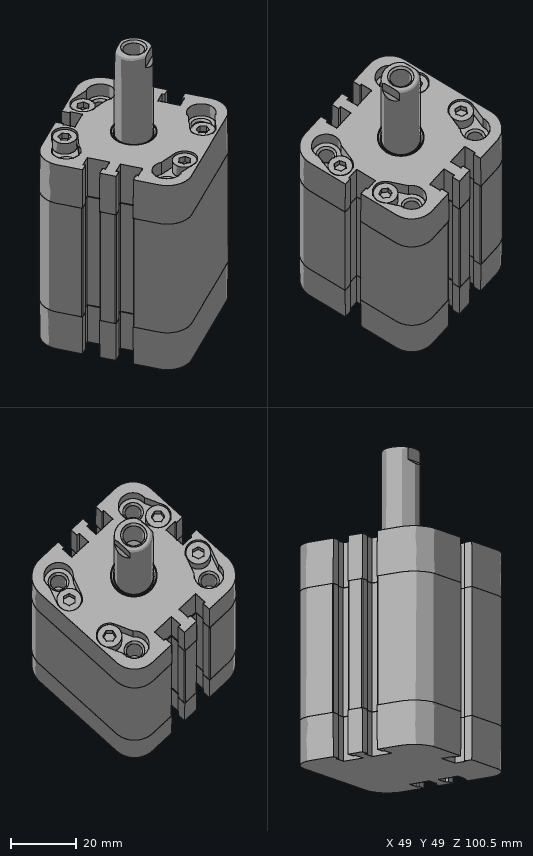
import cadquery as cq
import math


BODY_SIDE = 49.0
CORNER_RADIUS = 8.0
REAR_CAP_HEIGHT = 14.0
BARREL_HEIGHT = 40.7
FRONT_CAP_HEIGHT = 14.4
OVERALL_HEIGHT = 100.5
CAP_DRAFT = 0.5

BARREL_BASE = REAR_CAP_HEIGHT
FRONT_CAP_BASE = BARREL_BASE + BARREL_HEIGHT
BODY_TOP = FRONT_CAP_BASE + FRONT_CAP_HEIGHT

MOUTH_CENTRE = 5.4
MOUTH_WIDTH = 5.5
LIP_DEPTH = 2.8
UNDERCUT_OUTER_X = 8.9
CAP_RIB_WIDTH = 3.4
CAP_SLOT_DEPTH = 6.7
BARREL_RIB_WIDTH = 3.8
BARREL_SLOT_DEPTH = 6.4
MOUTH_CHAMFER = 0.3

SIDE_MOUTH_WIDTH = 5.9
SIDE_UNDERCUT_WIDTH = 7.1
SIDE_LIP_DEPTH = 2.8
SIDE_SLOT_DEPTH = 6.7

HOLE_OFFSET = 16.3
SCREW_X = 19.4
SCREW_Y = 8.6
POCKET_DEPTH = 4.5
HOLE_POCKET_DIAMETER = 9.0
SCREW_POCKET_DIAMETER = 8.0
HOLE_DIAMETER = 4.9
HOLE_CHAMFER = 0.7
HEAD_DIAMETER = 7.5
HEAD_HEIGHT = 3.9
SOCKET_CORNER_DIAMETER = 4.0
SOCKET_DEPTH = 2.0
SOCKET_ANGLE = 15.0

POCKET_FLOOR = BODY_TOP - POCKET_DEPTH

ROD_DIAMETER = 12.0
ROD_EDGE_RADIUS = 1.1
FLATS_WIDTH = 9.9
FLATS_LENGTH = 4.1
ROD_HOLE_DIAMETER = 6.6
ROD_HOLE_DEPTH = 12.1
ROD_HOLE_TIP_ANGLE = 118.0
ROD_HOLE_CHAMFER = 0.7

SEAT_MOUTH_DIAMETER = 14.3
SEAT_RIM_DIAMETER = 13.7
SEAT_RIM_DEPTH = 0.1
SEAT_THROAT_DIAMETER = 12.6
SEAT_CONE_DEPTH = 0.6
SEAT_DEPTH = 0.8


def disc(diameter, base, height, x=0.0, y=0.0):
    """Upright cylinder standing on the level `base`."""
    return cq.Workplane("XY", origin=(x, y, base)).circle(diameter / 2).extrude(height)


def revolved(profile):
    """Solid of revolution about Z from a list of (radius, z) points."""
    return cq.Workplane("XZ").polyline(profile).close().revolve(360, (0, 0, 0), (0, 1, 0))


def slot_step(x_start, x_end, depth_start, depth_end, base, height):
    """Rectangular groove between two X positions and two depths below the -Y side."""
    side = -BODY_SIDE / 2
    step = cq.Workplane("XY").box(x_end - x_start, depth_end - depth_start, height, centered=False)
    return step.translate((x_start, side + depth_start, base))


def paired_slot(rib_width, depth, base, height):
    """The slot at +X on the -Y side: a narrow mouth over a wider undercut."""
    half_mouth = MOUTH_WIDTH / 2
    mouth = slot_step(MOUTH_CENTRE - half_mouth, MOUTH_CENTRE + half_mouth, 0, LIP_DEPTH, base, height)
    undercut = slot_step(rib_width / 2, UNDERCUT_OUTER_X, LIP_DEPTH, depth, base, height)
    return mouth.union(undercut)


def side_slot(base, height):
    """The single slot, turned onto the -X side."""
    half_mouth = SIDE_MOUTH_WIDTH / 2
    half_undercut = SIDE_UNDERCUT_WIDTH / 2
    mouth = slot_step(-half_mouth, half_mouth, 0, SIDE_LIP_DEPTH, base, height)
    undercut = slot_step(-half_undercut, half_undercut, SIDE_LIP_DEPTH, SIDE_SLOT_DEPTH, base, height)
    return mouth.union(undercut).rotate((0, 0, 0), (0, 0, 1), -90)


def at_four_quadrants(shape):
    """The shape and its mirror images in the YZ and XZ planes."""
    pair = [shape, shape.mirror("YZ")]
    return pair + [half.mirror("XZ") for half in pair]


def slotted_block(base, height, rib_width, slot_depth, draft=0.0):
    """Rounded square block, narrowing upwards by the draft angle, with all slots along its height."""
    outline = cq.Sketch().rect(BODY_SIDE, BODY_SIDE).vertices().fillet(CORNER_RADIUS)
    block = cq.Workplane("XY", origin=(0, 0, base)).placeSketch(outline).extrude(height, taper=draft)
    for slot in at_four_quadrants(paired_slot(rib_width, slot_depth, base, height)):
        block = block.cut(slot)
    return block.cut(side_slot(base, height))


def make_rear_cap():
    """Lower cap, widest at the barrel."""
    cap = slotted_block(0, REAR_CAP_HEIGHT, CAP_RIB_WIDTH, CAP_SLOT_DEPTH, CAP_DRAFT)
    return cap.mirror("XY").translate((0, 0, REAR_CAP_HEIGHT))


def make_barrel():
    """Middle section, with chamfered mouths on the paired slots."""
    barrel = slotted_block(BARREL_BASE, BARREL_HEIGHT, BARREL_RIB_WIDTH, BARREL_SLOT_DEPTH)
    half_mouth = MOUTH_WIDTH / 2
    chamfered_mouth = (
        cq.Workplane("XY", origin=(MOUTH_CENTRE, -BODY_SIDE / 2, BARREL_BASE))
        .moveTo(-half_mouth - MOUTH_CHAMFER, 0)
        .lineTo(half_mouth + MOUTH_CHAMFER, 0)
        .lineTo(half_mouth, MOUTH_CHAMFER)
        .lineTo(-half_mouth, MOUTH_CHAMFER)
        .close()
        .extrude(BARREL_HEIGHT)
    )
    for mouth in at_four_quadrants(chamfered_mouth):
        barrel = barrel.cut(mouth)
    return barrel


def corner_recess():
    """Pocket and chamfered mounting hole at the +X +Y corner."""
    run_x = HOLE_OFFSET - SCREW_X
    run_y = HOLE_OFFSET - SCREW_Y
    channel = (
        cq.Workplane("XY")
        .slot2D(math.hypot(run_x, run_y) + SCREW_POCKET_DIAMETER, SCREW_POCKET_DIAMETER)
        .extrude(POCKET_DEPTH)
        .rotate((0, 0, 0), (0, 0, 1), math.degrees(math.atan2(run_y, run_x)))
        .translate((SCREW_X + run_x / 2, SCREW_Y + run_y / 2, POCKET_FLOOR))
    )
    hole_pocket = disc(HOLE_POCKET_DIAMETER, POCKET_FLOOR, POCKET_DEPTH, HOLE_OFFSET, HOLE_OFFSET)
    radius = HOLE_DIAMETER / 2
    hole = revolved([
        (0, POCKET_FLOOR),
        (radius + HOLE_CHAMFER, POCKET_FLOOR),
        (radius, POCKET_FLOOR - HOLE_CHAMFER),
        (radius, FRONT_CAP_BASE),
        (0, FRONT_CAP_BASE),
    ])
    return channel.union(hole_pocket).union(hole.translate((HOLE_OFFSET, HOLE_OFFSET, 0)))


def screw_head():
    """Socket head standing on the pocket floor at the +X +Y corner."""
    head = disc(HEAD_DIAMETER, POCKET_FLOOR, HEAD_HEIGHT)
    socket = (
        cq.Workplane("XY", origin=(0, 0, POCKET_FLOOR + HEAD_HEIGHT - SOCKET_DEPTH))
        .polygon(6, SOCKET_CORNER_DIAMETER)
        .extrude(SOCKET_DEPTH)
        .rotate((0, 0, 0), (0, 0, 1), SOCKET_ANGLE)
    )
    return head.cut(socket).translate((SCREW_X, SCREW_Y, 0))


def rod_passage():
    """Rod-sized hole through the front cap, opening into a ledge, a cone and a throat at the top."""
    return revolved([
        (0, BODY_TOP),
        (SEAT_MOUTH_DIAMETER / 2, BODY_TOP),
        (SEAT_MOUTH_DIAMETER / 2, BODY_TOP - SEAT_RIM_DEPTH),
        (SEAT_RIM_DIAMETER / 2, BODY_TOP - SEAT_RIM_DEPTH),
        (SEAT_THROAT_DIAMETER / 2, BODY_TOP - SEAT_CONE_DEPTH),
        (SEAT_THROAT_DIAMETER / 2, BODY_TOP - SEAT_DEPTH),
        (ROD_DIAMETER / 2, BODY_TOP - SEAT_DEPTH),
        (ROD_DIAMETER / 2, FRONT_CAP_BASE),
        (0, FRONT_CAP_BASE),
    ])


def make_front_cap():
    """Upper cap with the corner pockets, the screw heads and the rod passage."""
    cap = slotted_block(FRONT_CAP_BASE, FRONT_CAP_HEIGHT, CAP_RIB_WIDTH, CAP_SLOT_DEPTH, CAP_DRAFT)
    for recess in at_four_quadrants(corner_recess()):
        cap = cap.cut(recess)
    for head in at_four_quadrants(screw_head()):
        cap = cap.union(head)
    return cap.cut(rod_passage())


def rod_end_hole():
    """Chamfered blind hole with a conical bottom in the free end of the rod."""
    radius = ROD_HOLE_DIAMETER / 2
    bottom = OVERALL_HEIGHT - ROD_HOLE_DEPTH
    tip_length = radius / math.tan(math.radians(ROD_HOLE_TIP_ANGLE / 2))
    return revolved([
        (0, OVERALL_HEIGHT),
        (radius + ROD_HOLE_CHAMFER, OVERALL_HEIGHT),
        (radius, OVERALL_HEIGHT - ROD_HOLE_CHAMFER),
        (radius, bottom),
        (0, bottom - tip_length),
    ])


def wrench_flat():
    """Cutter for the flat on the +X side, running out through a 45 degree slope."""
    flat_x = FLATS_WIDTH / 2
    flat_bottom = OVERALL_HEIGHT - FLATS_LENGTH
    reach = ROD_DIAMETER / 2
    return (
        cq.Workplane("XZ")
        .moveTo(flat_x, OVERALL_HEIGHT)
        .lineTo(flat_x, flat_bottom)
        .lineTo(flat_x + reach, flat_bottom - reach)
        .lineTo(flat_x + reach, OVERALL_HEIGHT)
        .close()
        .extrude(ROD_DIAMETER / 2, both=True)
    )


def make_piston_rod():
    """Rod standing on the barrel, with a rounded, drilled end and two wrench flats."""
    rod = disc(ROD_DIAMETER, FRONT_CAP_BASE, OVERALL_HEIGHT - FRONT_CAP_BASE)
    rod = rod.faces(">Z").edges().fillet(ROD_EDGE_RADIUS)
    rod = rod.cut(rod_end_hole())
    flat = wrench_flat()
    return rod.cut(flat).cut(flat.mirror("YZ"))


rear_cap = make_rear_cap()
barrel = make_barrel()
front_cap = make_front_cap()
piston_rod = make_piston_rod()

bodies = [rear_cap, barrel, front_cap, piston_rod]
result = cq.Compound.makeCompound([body.solids().val() for body in bodies])